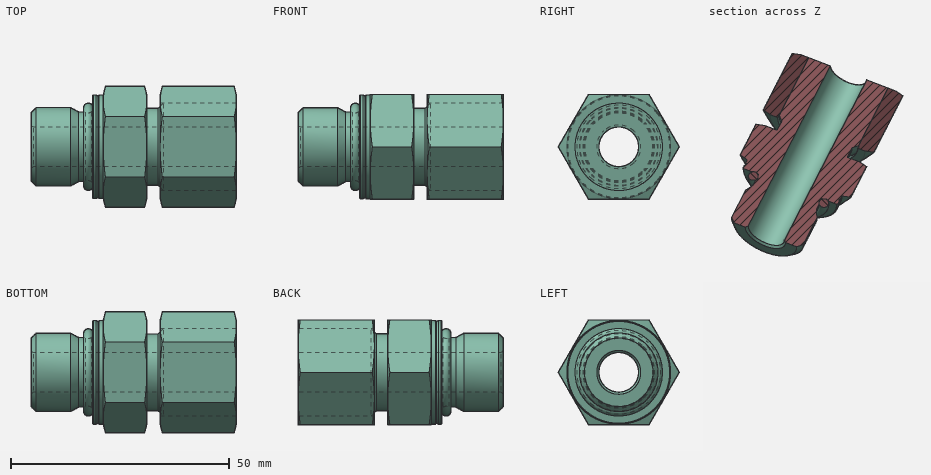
import cadquery as cq
import math

LENGTH = 47.0
TIP_CHAMFER_END = 1.18
THREAD_END = 9.02
RELIEF_START = 10.9
FLANGE_FACE = 14.0
MARK_GROOVE_START = 14.85
MARK_FLOOR_START = 15.28
MARK_GROOVE_END = 15.55
HEX_START = 16.5
HEX_END = 26.5
NECK_END = 29.1
NUT_START = 29.5

BORE_RADIUS = 4.5
BORE_MOUTH_RADIUS = 5.05
TIP_RADIUS = 7.85
STUD_DIAMETER = 18.0
STUD_RADIUS = STUD_DIAMETER / 2
RELIEF_RADIUS = 8.0
FLANGE_RADIUS = 11.9
NECK_RADIUS = 8.85
NUT_THREAD_RADIUS = 10.0

FLANGE_CHAMFER = 0.25
MARK_GROOVE_DEPTH = 0.2

HEX_WIDTH = 24.0
HEX_CORNER_RADIUS = HEX_WIDTH / math.sqrt(3)
HEX_FACE_RADIUS = 11.9
HEX_CHAMFER_LENGTH = 0.5

SEAL_SECTION_RADIUS = 1.15
SEAL_OUTER_RADIUS = 10.0
SEAL_CENTRE_RADIUS = SEAL_OUTER_RADIUS - SEAL_SECTION_RADIUS
SEAL_CENTRE_X = 13.1


def revolve_about_x(profile):
    """Turn a closed (x, radius) profile about the X axis."""
    return profile.close().revolve(360, (0, 0, 0), (1, 0, 0))


def chamfered_hexagon(start, end):
    """Hexagonal bar along X with conical corner chamfers at both ends."""
    bar = (
        cq.Workplane("YZ", origin=(start, 0, 0))
        .polygon(6, 2 * HEX_CORNER_RADIUS)
        .extrude(end - start)
    )
    corner_envelope = revolve_about_x(
        cq.Workplane("XY")
        .moveTo(start, 0)
        .lineTo(start, HEX_FACE_RADIUS)
        .lineTo(start + HEX_CHAMFER_LENGTH, HEX_CORNER_RADIUS)
        .lineTo(end - HEX_CHAMFER_LENGTH, HEX_CORNER_RADIUS)
        .lineTo(end, HEX_FACE_RADIUS)
        .lineTo(end, 0)
    )
    return bar.intersect(corner_envelope)


def make_seal():
    """O-ring seated against the flange face."""
    return (
        cq.Workplane("XY")
        .center(SEAL_CENTRE_X, SEAL_CENTRE_RADIUS)
        .circle(SEAL_SECTION_RADIUS)
        .revolve(360, (0, -SEAL_CENTRE_RADIUS, 0), (1, -SEAL_CENTRE_RADIUS, 0))
    )


def turned_stud():
    """Threaded stud, relief and flange, up to the start of the hexagon."""
    mark_floor_radius = FLANGE_RADIUS - MARK_GROOVE_DEPTH
    return revolve_about_x(
        cq.Workplane("XY")
        .moveTo(0, 0)
        .lineTo(0, TIP_RADIUS)
        .lineTo(TIP_CHAMFER_END, STUD_RADIUS)
        .lineTo(THREAD_END, STUD_RADIUS)
        .lineTo(RELIEF_START, RELIEF_RADIUS)
        .lineTo(FLANGE_FACE, RELIEF_RADIUS)
        .lineTo(FLANGE_FACE, FLANGE_RADIUS - FLANGE_CHAMFER)
        .lineTo(FLANGE_FACE + FLANGE_CHAMFER, FLANGE_RADIUS)
        .lineTo(MARK_GROOVE_START, FLANGE_RADIUS)
        .lineTo(MARK_FLOOR_START, mark_floor_radius)
        .lineTo(MARK_GROOVE_END, mark_floor_radius)
        .lineTo(MARK_GROOVE_END, FLANGE_RADIUS)
        .lineTo(HEX_START, FLANGE_RADIUS)
        .lineTo(HEX_START, 0)
    )


def turned_tail():
    """Neck behind the hexagon, with a 45 degree cone up to the nut's thread."""
    cone_end = NECK_END + NUT_THREAD_RADIUS - NECK_RADIUS
    return revolve_about_x(
        cq.Workplane("XY")
        .moveTo(HEX_END, 0)
        .lineTo(HEX_END, NECK_RADIUS)
        .lineTo(NECK_END, NECK_RADIUS)
        .lineTo(cone_end, NUT_THREAD_RADIUS)
        .lineTo(LENGTH, NUT_THREAD_RADIUS)
        .lineTo(LENGTH, 0)
    )


def through_bore():
    """Bore along the whole fitting, with a 45 degree mouth at the stud tip."""
    return revolve_about_x(
        cq.Workplane("XY")
        .moveTo(0, 0)
        .lineTo(0, BORE_MOUTH_RADIUS)
        .lineTo(BORE_MOUTH_RADIUS - BORE_RADIUS, BORE_RADIUS)
        .lineTo(LENGTH, BORE_RADIUS)
        .lineTo(LENGTH, 0)
    )


def make_fitting():
    """One-piece stud, flange, hexagon and neck, recessed where the O-ring sits."""
    return (
        chamfered_hexagon(HEX_START, HEX_END)
        .union(turned_stud())
        .union(turned_tail())
        .cut(through_bore())
        .cut(make_seal())
    )


def make_nut():
    """Union nut on the tail of the fitting."""
    thread_hole = (
        cq.Workplane("YZ", origin=(NUT_START, 0, 0))
        .circle(NUT_THREAD_RADIUS)
        .extrude(LENGTH - NUT_START)
    )
    return chamfered_hexagon(NUT_START, LENGTH).cut(thread_hole)


fitting = make_fitting()
seal = make_seal()
nut = make_nut()

result = cq.Compound.makeCompound([fitting.solids().val(), seal.val(), nut.solids().val()])